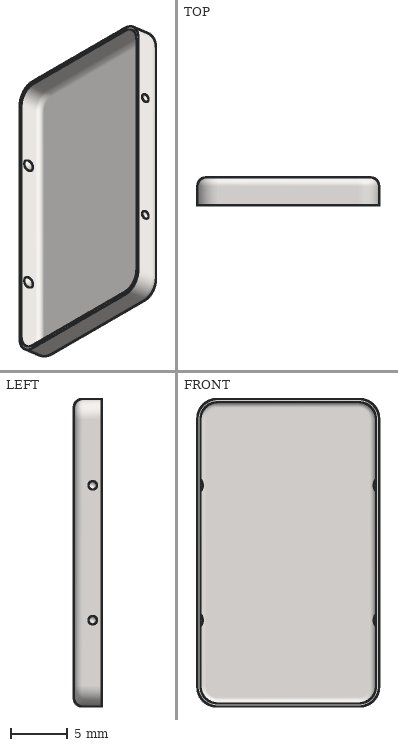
import cadquery as cq
import math

WIDTH = 16.2
DEPTH = 2.5
HEIGHT = 27.4

WALL = 0.3
CORNER_RADIUS = 1.8
INNER_FLOOR_FILLET = 0.5
BACK_FILLET = INNER_FLOOR_FILLET + WALL

DIMPLE_RADIUS = 0.45
DETENT_DEPTH = 0.2
DETENT_SPACING = 12.0
DETENT_SETBACK = 0.81

FRONT_Y = -DEPTH / 2
DETENT_Y = FRONT_Y + DETENT_SETBACK


def rounded_block(width, height, depth, corner_radius, back_fillet):
    """Block from the open face toward +Y, with round corners and a filleted back edge."""
    block = cq.Workplane("XY").box(width, depth, height)
    block = block.translate((0, FRONT_Y + depth / 2, 0))
    return block.edges("|Y").fillet(corner_radius).faces(">Y").edges().fillet(back_fillet)


def make_tray():
    outside = rounded_block(WIDTH, HEIGHT, DEPTH, CORNER_RADIUS, BACK_FILLET)
    inside = rounded_block(
        WIDTH - 2 * WALL,
        HEIGHT - 2 * WALL,
        DEPTH - WALL,
        CORNER_RADIUS - WALL,
        INNER_FLOOR_FILLET,
    )
    return outside.cut(inside)


def detent_cap(side, face_x, radius, z):
    """Spherical cap standing DETENT_DEPTH inward from the wall face at side * face_x."""
    rim_radius = math.sqrt(2 * radius * DETENT_DEPTH - DETENT_DEPTH**2)
    middle_angle = math.asin(rim_radius / radius) / 2
    middle_depth = DETENT_DEPTH - radius * (1 - math.cos(middle_angle))
    middle_radius = radius * math.sin(middle_angle)
    return (
        cq.Workplane("XY", origin=(side * face_x, DETENT_Y, z))
        .moveTo(0, rim_radius)
        .threePointArc((-side * middle_depth, middle_radius), (-side * DETENT_DEPTH, 0))
        .lineTo(0, 0)
        .close()
        .revolve(360, (0, 0, 0), (1, 0, 0))
    )


def add_detent(tray, side, z):
    """Raise a bump on the inner wall face and sink a concentric dimple in the outer one."""
    outer_x = WIDTH / 2
    bump = detent_cap(side, outer_x - WALL, DIMPLE_RADIUS + WALL, z)
    dimple = detent_cap(side, outer_x, DIMPLE_RADIUS, z)
    return tray.union(bump).cut(dimple)


result = make_tray()
for side in (-1, 1):
    for z in (-DETENT_SPACING / 2, DETENT_SPACING / 2):
        result = add_detent(result, side, z)